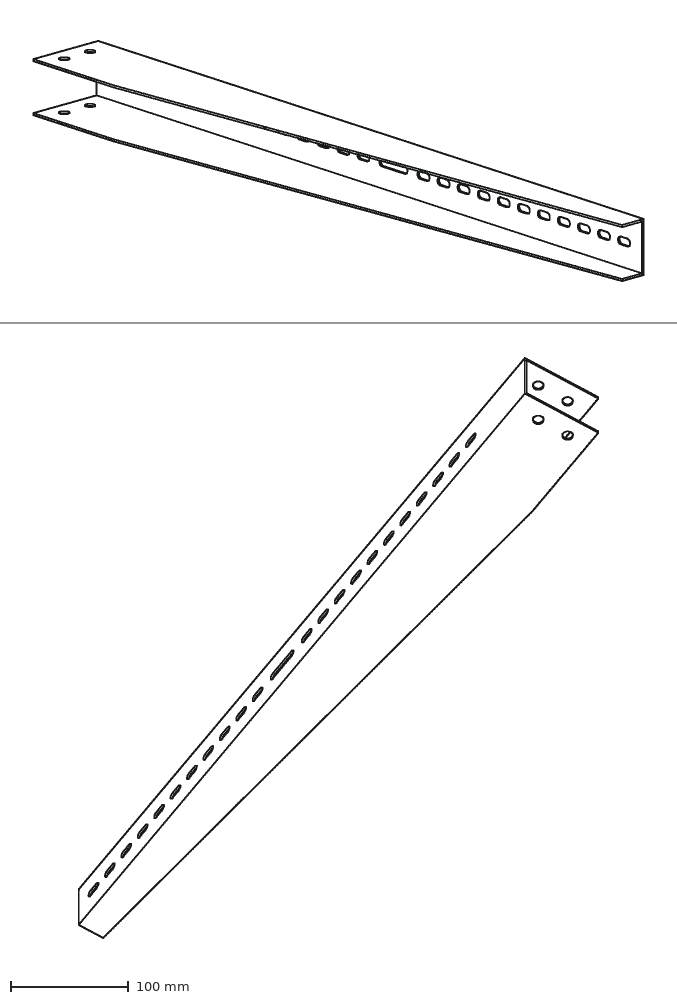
import cadquery as cq

length = 680.0
root_depth = 75.0
tip_depth = 25.0
height = 50.0
thickness = 2.0

straight_length = 100.0

slot_pitch = 25.0
slot_length = 15.0
slot_width = 7.0
slots_per_group = 11
first_slot_x = 82.5
end_margin = 22.5
long_slot_length = 35.0
group_span = (slots_per_group - 1) * slot_pitch
last_slot_x = length - end_margin
second_group_x = last_slot_x - group_span
long_slot_x = (first_slot_x + group_span + second_group_x) / 2

hole_diameter = 9.0
hole_x = 17.0
hole_spacing = 30.0
hole_near_web_y = -25.0
hole_far_y = hole_near_web_y - hole_spacing


def tapered_channel():
    """Channel with a constant web and flanges tapering toward the tip."""
    outline = [
        (0, 0),
        (length, 0),
        (length, -tip_depth),
        (straight_length, -root_depth),
        (0, -root_depth),
    ]
    body = cq.Workplane("XY").polyline(outline).close().extrude(height)
    cavity = cq.Workplane("XY").box(length, root_depth, height - 2 * thickness, centered=False)
    return body.cut(cavity.translate((0, -root_depth - thickness, thickness)))


def web_slots(centres_x, overall_length):
    """Round-ended cutters through the web at mid height."""
    centres = [(x, height / 2) for x in centres_x]
    sketch = cq.Workplane("XZ").pushPoints(centres).slot2D(overall_length, slot_width)
    return sketch.extrude(thickness)


def flange_holes():
    """Cutters for the holes passing through both flanges."""
    centres = [(hole_x, hole_near_web_y), (hole_x, hole_far_y)]
    return cq.Workplane("XY").pushPoints(centres).circle(hole_diameter / 2).extrude(height)


group_starts = (first_slot_x, second_group_x)
short_slot_centres = [start + i * slot_pitch for start in group_starts for i in range(slots_per_group)]

result = tapered_channel()
result = result.cut(web_slots(short_slot_centres, slot_length))
result = result.cut(web_slots([long_slot_x], long_slot_length))
result = result.cut(flange_holes())